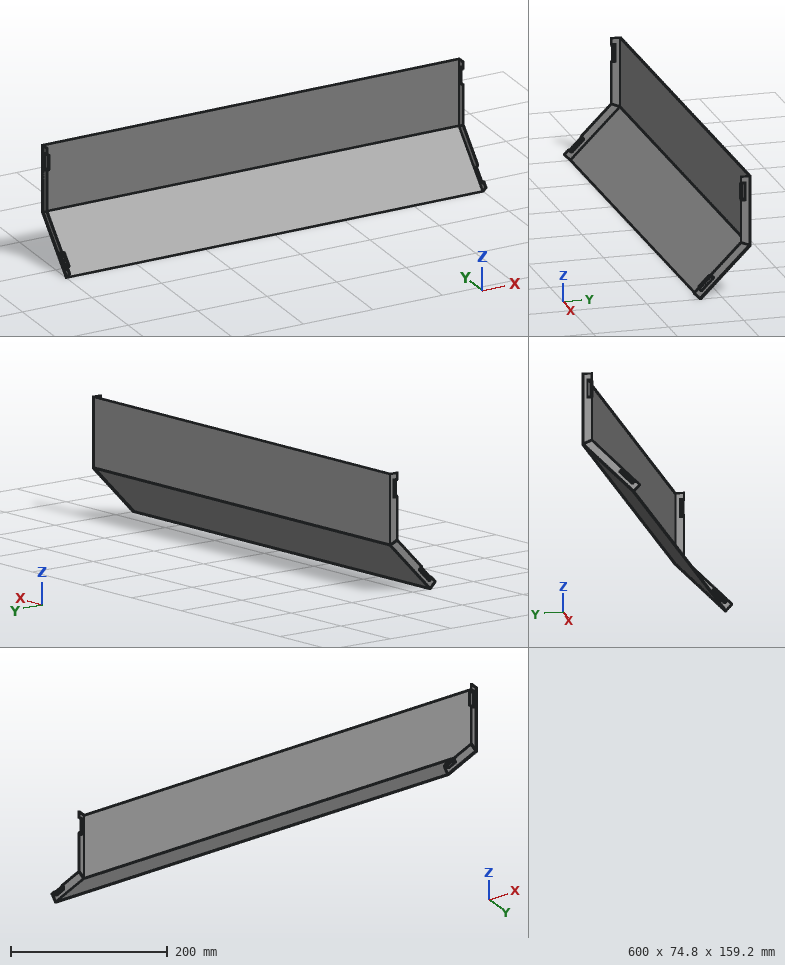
import math

import cadquery as cq

LENGTH = 600.0
OVERALL_DEPTH = 74.79
OVERALL_HEIGHT = 159.21
SLOPE_ANGLE = 45.0
FLANGE_DEPTH = 12.3
THICKNESS = 1.0
CORNER_SLIT = 0.3

DIMPLE_FROM_END = 20.0
DIMPLE_DEPTH = 3.0
DIMPLE_LENGTH = 23.5
DIMPLE_FLOOR_LENGTH = 19.0
DIMPLE_WIDTH = 5.5
DIMPLE_FLOOR_WIDTH = 2.5

slope = math.radians(SLOPE_ANGLE)
LOWER_LEG = (OVERALL_DEPTH - FLANGE_DEPTH * math.cos(slope)) / math.sin(slope)
UPPER_LEG = OVERALL_HEIGHT - LOWER_LEG * math.cos(slope)



def upper_point(along, height):
    """(y, z) of a point of the upper leg."""
    return (-height, along)


def lower_point(along, height):
    """(y, z) of a point of the lower leg."""
    y = -along * math.sin(slope) - height * math.cos(slope)
    z = -along * math.cos(slope) + height * math.sin(slope)
    return (y, z)


def bent_prism(start_height, end_height, length):
    """Prism along X filling both legs between two heights above the outer face."""

    def bend_point(height):
        return upper_point(height * math.tan(slope / 2), height)

    outline = [
        upper_point(UPPER_LEG, start_height),
        bend_point(start_height),
        lower_point(LOWER_LEG, start_height),
        lower_point(LOWER_LEG, end_height),
        bend_point(end_height),
        upper_point(UPPER_LEG, end_height),
    ]
    return cq.Workplane("YZ").polyline(outline).close().extrude(length / 2, both=True)


def dimple_form(leg_point, leg_length, side, offset):
    """Tapered block of a dimple, moved inward from the flange's outer face by offset."""
    centre = leg_length - DIMPLE_FROM_END

    def section(x, length, width):
        corners = [
            (centre - length / 2, FLANGE_DEPTH - width),
            (centre + length / 2, FLANGE_DEPTH - width),
            (centre + length / 2, FLANGE_DEPTH),
            (centre - length / 2, FLANGE_DEPTH),
        ]
        points = [cq.Vector(side * x, *leg_point(*corner)) for corner in corners]
        return cq.Wire.makePolygon(points, close=True)

    outer = section(LENGTH / 2 - offset, DIMPLE_LENGTH, DIMPLE_WIDTH)
    floor = section(LENGTH / 2 - offset - DIMPLE_DEPTH, DIMPLE_FLOOR_LENGTH, DIMPLE_FLOOR_WIDTH)
    return cq.Workplane(cq.Solid.makeLoft([outer, floor], True))


def panel():
    """Bent panel with a flange along both ends of each leg, all of one thickness."""
    block = bent_prism(0, FLANGE_DEPTH, LENGTH)
    inside = bent_prism(THICKNESS, FLANGE_DEPTH, LENGTH - 2 * THICKNESS)
    return block.cut(inside)


def corner_slits():
    """Blade along the bend's bisecting plane that parts the flanges but not the panel."""
    reach = FLANGE_DEPTH / math.cos(slope / 2)
    start = THICKNESS / math.cos(slope / 2)
    blade = cq.Workplane("XY").box(LENGTH, reach, CORNER_SLIT)
    blade = blade.translate((0, -start - reach / 2, 0))
    return blade.rotate((0, 0, 0), (1, 0, 0), -SLOPE_ANGLE / 2)


def add_dimples(body):
    """Press a dimple into each of the four flanges: raise its inner face, then hollow it."""
    for leg_point, leg_length in ((upper_point, UPPER_LEG), (lower_point, LOWER_LEG)):
        for side in (-1, 1):
            body = body.union(dimple_form(leg_point, leg_length, side, THICKNESS))
            body = body.cut(dimple_form(leg_point, leg_length, side, 0))
    return body


result = add_dimples(panel().cut(corner_slits()))